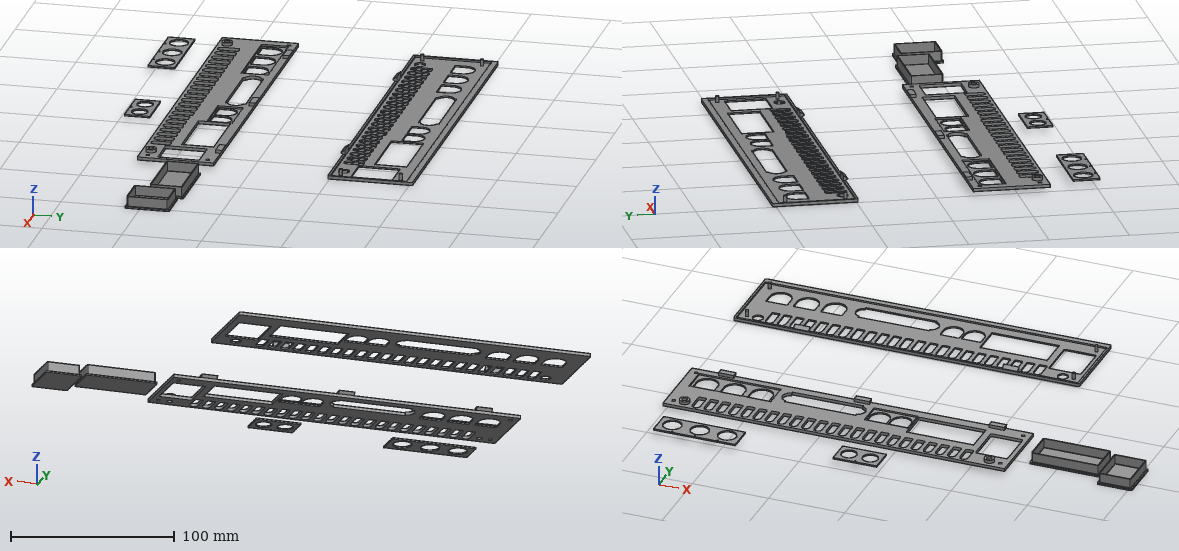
import cadquery as cq

SHEET = 1.0
PLATE_THICKNESS = 2 * SHEET
BACK_Z = SHEET
RIM_TOP_Z = BACK_Z + PLATE_THICKNESS
FRONT_Z = RIM_TOP_Z
FRONT_TOP_Z = FRONT_Z + PLATE_THICKNESS
INSERT_Z = FRONT_TOP_Z - SHEET
TRAY_HEIGHT = 7.3
STUD_HEIGHT = 2.0
PIN_HEIGHT = 4.0

PANEL_LENGTH = 224.3
PANEL_WIDTH = 48.0
RIM = 1.37
UPPER_RIM = 4.0
BACK_LENGTH = PANEL_LENGTH + 2 * RIM
BACK_WIDTH = PANEL_WIDTH + RIM + UPPER_RIM
FRONT_ORIGIN = (RIM, 32.3)
BACK_ORIGIN = (RIM, 153.3)
SMALL_RADIUS = 1.0

LARGE_ARCH_XS = (15.5, 33.5, 51.5)
LARGE_ARCH_Y = 34.0
LARGE_ARCH_RADIUS = 7.0
SMALL_ARCH_XS = (129.2, 143.3)
SMALL_ARCH_Y = 33.5
SMALL_ARCH_RADIUS = 6.5
ARCH_CORNER_RADIUS = 1.0

PORT_LEFT = 68.3
PORT_RIGHT = 115.0
PORT_BOTTOM = 29.3
PORT_HEIGHT = 12.8
PORT_END_BULGE = 4.0
PORT_END_STEP = 1.2

WIDE_CUTOUT = (151.5, 21.0)
WIDE_CUTOUT_SIZE = (44.2, 20.0)
TALL_CUTOUT = (200.3, 12.2)
TALL_CUTOUT_SIZE = (21.0, 26.0)

SLOT_COUNT = 23
SHORT_SLOT_COUNT = 7
SLOT_WIDTH = 5.2
SLOT_BOTTOM = 1.95
SLOT_TOP = 15.2
SHORT_SLOT_TOP = 14.3
FIRST_SLOT_X = 20.0
SLOT_SPAN = 176.0
SLOT_PITCH = SLOT_SPAN / (SLOT_COUNT - 1)
SLOT_CORNER_RADIUS = 0.75

PIN_POINTS = [(x, y) for x in (5.0, 219.5) for y in (5.5, 43.0)]
PIN_DIAMETER = 2.0
PIN_HOLE_DIAMETER = 2.2
BOSS_POINTS = [(x, 5.8) for x in (12.0, 212.0)]
BOSS_DIAMETER = 6.5
BOSS_BORE = 3.5
BOSS_CLEARANCE = 6.7

LATCH_WIDTH = 10.0
HOOK_XS = (38.5, 175.5)
HOOK_RISE = 3.0
HOOK_TIP_RISE = 1.2
HOOK_OVERHANG = 1.2
TAB_XS = (18.5, 107.5, 196.3)
TAB_DEPTH = 3.0
TAB_OVERHANG = 1.0

LARGE_INSERT = (6.7, 26.2)
LARGE_INSERT_SIZE = (53.5, 16.8)
LARGE_INSERT_BORE = 12.0
LARGE_INSERT_BORE_Y = 8.8
LARGE_INSERT_DOT_PITCH = 15.0
SMALL_INSERT = (122.0, 26.2)
SMALL_INSERT_SIZE = (28.5, 16.0)
SMALL_INSERT_BORE = 10.0
SMALL_INSERT_BORE_Y = 8.0
DOT_DIAMETER = 0.8
DOT_Y = 1.0
SMALL_INSERT_Y = 6.7

TRAY_WALL = 0.5
FLANGE = 1.0
WIDE_TRAY = (234.0, 52.0)
TALL_TRAY = (282.0, 43.3)


def block(corner, size, z, height):
    """A box standing on height z, from its lower-left corner."""
    return cq.Workplane("XY").box(*size, height, centered=False).translate((*corner, z))


def cylinders(points, diameter, z, height):
    return cq.Workplane("XY").workplane(offset=z).pushPoints(points).circle(diameter / 2).extrude(height)


def profile_along_x(points, start, length):
    """A prism along X whose section is given as (Y, Z) points."""
    return cq.Workplane("YZ").workplane(offset=start).polyline(points).close().extrude(length)


def arch_cutter(x, y, radius):
    """A round-topped opening with a square lower half."""
    return (
        cq.Workplane("XY")
        .moveTo(x - radius, y)
        .threePointArc((x, y + radius), (x + radius, y))
        .lineTo(x + radius, y - radius)
        .lineTo(x - radius, y - radius)
        .close()
        .extrude(PLATE_THICKNESS)
        .edges("|Z and <Y")
        .fillet(ARCH_CORNER_RADIUS)
    )


def port_cutter():
    """A long opening with bulged ends."""
    top = PORT_BOTTOM + PORT_HEIGHT
    middle = PORT_BOTTOM + PORT_HEIGHT / 2
    return (
        cq.Workplane("XY")
        .moveTo(PORT_LEFT, PORT_BOTTOM)
        .lineTo(PORT_RIGHT, PORT_BOTTOM)
        .lineTo(PORT_RIGHT, PORT_BOTTOM + PORT_END_STEP)
        .threePointArc((PORT_RIGHT + PORT_END_BULGE, middle), (PORT_RIGHT, top - PORT_END_STEP))
        .lineTo(PORT_RIGHT, top)
        .lineTo(PORT_LEFT, top)
        .lineTo(PORT_LEFT, top - PORT_END_STEP)
        .threePointArc((PORT_LEFT - PORT_END_BULGE, middle), (PORT_LEFT, PORT_BOTTOM + PORT_END_STEP))
        .close()
        .extrude(PLATE_THICKNESS)
    )


def slot_cutter(x, top):
    """A vent slot with a round lower end and a flat upper end."""
    radius = SLOT_WIDTH / 2
    arc_y = SLOT_BOTTOM + radius
    return (
        cq.Workplane("XY")
        .moveTo(x - radius, top)
        .lineTo(x - radius, arc_y)
        .threePointArc((x, SLOT_BOTTOM), (x + radius, arc_y))
        .lineTo(x + radius, top)
        .close()
        .extrude(PLATE_THICKNESS)
        .edges("|Z and >Y")
        .fillet(SLOT_CORNER_RADIUS)
    )


def cut_openings(plate):
    """Cut the connector openings and vent slots that both plates share."""
    for x in LARGE_ARCH_XS:
        plate = plate.cut(arch_cutter(x, LARGE_ARCH_Y, LARGE_ARCH_RADIUS))
    for x in SMALL_ARCH_XS:
        plate = plate.cut(arch_cutter(x, SMALL_ARCH_Y, SMALL_ARCH_RADIUS))
    plate = plate.cut(port_cutter())
    plate = plate.cut(block(WIDE_CUTOUT, WIDE_CUTOUT_SIZE, 0, PLATE_THICKNESS))
    tall_cutter = block(TALL_CUTOUT, TALL_CUTOUT_SIZE, 0, PLATE_THICKNESS)
    plate = plate.cut(tall_cutter.edges("|Z").fillet(SMALL_RADIUS))
    for index in range(SLOT_COUNT):
        is_short = index >= SLOT_COUNT - SHORT_SLOT_COUNT
        top = SHORT_SLOT_TOP if is_short else SLOT_TOP
        plate = plate.cut(slot_cutter(FIRST_SLOT_X + index * SLOT_PITCH, top))
    return plate


def make_back_plate():
    plate = block((-RIM, -RIM), (BACK_LENGTH, BACK_WIDTH), 0, PLATE_THICKNESS)
    plate = plate.edges("|Z").fillet(SMALL_RADIUS)
    plate = plate.cut(block((0, 0), (PANEL_LENGTH, PANEL_WIDTH), SHEET, PLATE_THICKNESS - SHEET))
    plate = cut_openings(plate)
    plate = plate.cut(cylinders(BOSS_POINTS, BOSS_CLEARANCE, 0, SHEET))
    plate = plate.union(cylinders(PIN_POINTS, PIN_DIAMETER, SHEET, PIN_HEIGHT))
    hook = [
        (0, PLATE_THICKNESS),
        (0, PLATE_THICKNESS + HOOK_RISE),
        (-RIM - HOOK_OVERHANG, PLATE_THICKNESS + HOOK_TIP_RISE),
        (-RIM, PLATE_THICKNESS),
    ]
    for x in HOOK_XS:
        plate = plate.union(profile_along_x(hook, x, LATCH_WIDTH))
    return plate.translate((*BACK_ORIGIN, BACK_Z))


def make_front_plate():
    plate = cut_openings(block((0, 0), (PANEL_LENGTH, PANEL_WIDTH), 0, PLATE_THICKNESS))
    for corner, size in ((LARGE_INSERT, LARGE_INSERT_SIZE), (SMALL_INSERT, SMALL_INSERT_SIZE)):
        plate = plate.cut(block(corner, size, PLATE_THICKNESS - SHEET, SHEET))
    plate = plate.cut(cylinders(PIN_POINTS, PIN_HOLE_DIAMETER, 0, PLATE_THICKNESS))
    plate = plate.union(cylinders(BOSS_POINTS, BOSS_DIAMETER, PLATE_THICKNESS, STUD_HEIGHT))
    plate = plate.cut(cylinders(BOSS_POINTS, BOSS_BORE, 0, PLATE_THICKNESS + STUD_HEIGHT))
    tab = [
        (PANEL_WIDTH, PLATE_THICKNESS),
        (PANEL_WIDTH + TAB_OVERHANG, PLATE_THICKNESS + STUD_HEIGHT),
        (PANEL_WIDTH - TAB_DEPTH, PLATE_THICKNESS + STUD_HEIGHT),
        (PANEL_WIDTH - TAB_DEPTH, PLATE_THICKNESS),
    ]
    for x in TAB_XS:
        plate = plate.union(profile_along_x(tab, x, LATCH_WIDTH))
    return plate.translate((*FRONT_ORIGIN, FRONT_Z))


def make_insert(pocket, size, bore_xs, bore_y, bore, dot_xs):
    """A thin plate with connector bores and small dot holes, in front of its pocket."""
    plate = block(pocket, size, 0, SHEET)
    plate = plate.cut(cylinders([(x, pocket[1] + bore_y) for x in bore_xs], bore, 0, SHEET))
    plate = plate.cut(cylinders([(x, pocket[1] + DOT_Y) for x in dot_xs], DOT_DIAMETER, 0, SHEET))
    return plate


def make_large_insert():
    middle_x = LARGE_ARCH_XS[1]
    dot_xs = [middle_x + step * LARGE_INSERT_DOT_PITCH for step in (-1, 0, 1)]
    insert = make_insert(
        LARGE_INSERT, LARGE_INSERT_SIZE, LARGE_ARCH_XS, LARGE_INSERT_BORE_Y, LARGE_INSERT_BORE, dot_xs
    )
    return insert.translate((RIM, -LARGE_INSERT[1], INSERT_Z))


def make_small_insert():
    dot_xs = [sum(SMALL_ARCH_XS) / 2]
    insert = make_insert(
        SMALL_INSERT, SMALL_INSERT_SIZE, SMALL_ARCH_XS, SMALL_INSERT_BORE_Y, SMALL_INSERT_BORE, dot_xs
    )
    return insert.translate((RIM, SMALL_INSERT_Y - SMALL_INSERT[1], INSERT_Z))


def make_tray(corner, opening):
    """An open-topped tray whose walls fit an opening, with a flange around its floor."""
    length, width = opening
    flange_size = (length + 2 * FLANGE, width + 2 * FLANGE)
    inner_size = (length - 2 * TRAY_WALL, width - 2 * TRAY_WALL)
    inner_corner = (FLANGE + TRAY_WALL, FLANGE + TRAY_WALL)
    flange = block((0, 0), flange_size, 0, SHEET).edges("|Z").fillet(SMALL_RADIUS)
    walls = block((FLANGE, FLANGE), opening, 0, TRAY_HEIGHT).edges("|Z").fillet(SMALL_RADIUS)
    hollow = block(inner_corner, inner_size, SHEET, TRAY_HEIGHT)
    return flange.union(walls).cut(hollow).translate((*corner, 0))


back_plate = make_back_plate()
front_plate = make_front_plate()
large_insert = make_large_insert()
small_insert = make_small_insert()
trays = [make_tray(WIDE_TRAY, WIDE_CUTOUT_SIZE), make_tray(TALL_TRAY, TALL_CUTOUT_SIZE)]

result = cq.Compound.makeCompound(
    [
        back_plate.val(),
        front_plate.val(),
        large_insert.val(),
        small_insert.val(),
        *[tray.val() for tray in trays],
    ]
)